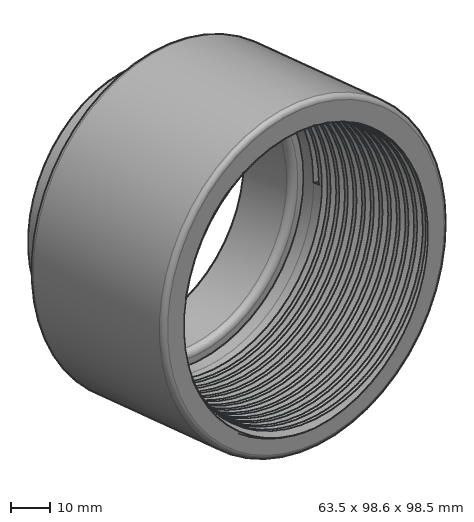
import cadquery as cq
import math

total_length = 63.5
body_radius = 98.55 / 2
body_edge_radius = 1.5
spigot_length = 12.7
spigot_radius = 76.2 / 2
spigot_fillet = 3.175

bore_radius = 72.9 / 2
relief_radius = 80.94 / 2
shoulder_edge_radius = 2.0
shoulder_x = 18.2
thread_length = 41.5
thread_start_x = total_length - thread_length
taper_per_side = 1 / 32
open_radius = relief_radius + thread_length * taper_per_side

thread_pitch = 25.4 / 8
groove_width = 2.0
flank_angle = math.radians(30)
groove_depth = groove_width / 2 / math.tan(flank_angle)
cutter_overlap = 0.3
groove_start_x = thread_start_x + groove_width / 2
groove_start_radius = relief_radius + (groove_start_x - thread_start_x) * taper_per_side
groove_travel = total_length + thread_pitch - groove_start_x

axis_start = (0, 0, 0)
axis_end = (1, 0, 0)


def turned_blank():
    """Outside profile with the spigot fillet and the rounded body edges."""
    return (
        cq.Workplane("XY")
        .moveTo(0, 0)
        .lineTo(0, spigot_radius)
        .lineTo(spigot_length - spigot_fillet, spigot_radius)
        .radiusArc((spigot_length, spigot_radius + spigot_fillet), -spigot_fillet)
        .lineTo(spigot_length, body_radius - body_edge_radius)
        .radiusArc((spigot_length + body_edge_radius, body_radius), body_edge_radius)
        .lineTo(total_length - body_edge_radius, body_radius)
        .radiusArc((total_length, body_radius - body_edge_radius), body_edge_radius)
        .lineTo(total_length, 0)
        .close()
        .revolve(360, axis_start, axis_end)
    )


def bore_cutter():
    """Stepped bore that opens into the tapered thread bore."""
    return (
        cq.Workplane("XY")
        .moveTo(0, 0)
        .lineTo(0, bore_radius)
        .lineTo(shoulder_x - shoulder_edge_radius, bore_radius)
        .radiusArc((shoulder_x, bore_radius + shoulder_edge_radius), -shoulder_edge_radius)
        .lineTo(shoulder_x, relief_radius)
        .lineTo(thread_start_x, relief_radius)
        .lineTo(total_length, open_radius)
        .lineTo(total_length, 0)
        .close()
        .revolve(360, axis_start, axis_end)
    )


def thread_cutter():
    """V groove swept along a right-hand conical helix that starts on the +Y side.

    It is swept about the Z axis from the +X side, turned so that Z, X, Y become X, Y, Z
    and trimmed flush with the open end.
    """
    helix = cq.Wire.makeHelix(
        thread_pitch,
        groove_travel,
        groove_start_radius,
        angle=math.degrees(math.atan(taper_per_side)),
    )
    base_radius = groove_start_radius - cutter_overlap
    base_half_width = (groove_depth + cutter_overlap) * math.tan(flank_angle)
    cutter = (
        cq.Workplane("XZ")
        .moveTo(base_radius, -base_half_width)
        .lineTo(groove_start_radius + groove_depth, 0)
        .lineTo(base_radius, base_half_width)
        .close()
        .sweep(cq.Workplane(helix), isFrenet=True)
    )
    cutter = cutter.rotate((0, 0, 0), (1, 1, 1), 120).translate((groove_start_x, 0, 0))
    part_envelope = cq.Workplane("YZ").circle(body_radius).extrude(total_length)
    return cutter.intersect(part_envelope)


result = turned_blank().cut(bore_cutter()).cut(thread_cutter())